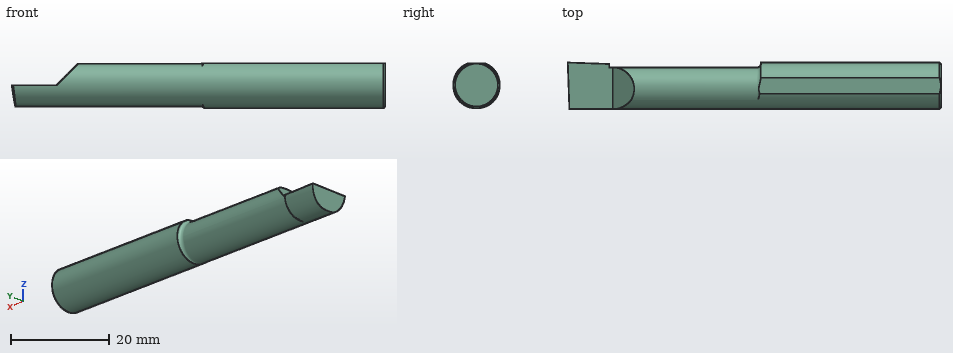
import cadquery as cq
import math

total_length = 76.2
shank_diameter = 9.525
shank_radius = shank_diameter / 2
shank_flat_height = 4.48
shank_end_chamfer = 0.4

neck_radius = 4.40
neck_back_reach = 3.76
neck_offset = neck_radius - neck_back_reach
neck_end = 39.4
neck_fillet = 0.76

head_length = 8.5
head_side_relief = 2.0
head_end_relief = 2.0
head_front_clearance = 8.0

rake_length = 9.17
ramp_angle = 45.0

overcut = 10.0
relief_block_size = 4 * overcut


def make_shank():
    bar = (
        cq.Workplane("YZ")
        .circle(shank_radius)
        .extrude(total_length)
        .faces(">X")
        .chamfer(shank_end_chamfer)
    )
    above_flat = cq.Workplane("XY").box(
        total_length, shank_diameter, shank_diameter, centered=(False, True, False)
    )
    return bar.cut(above_flat.translate((0, 0, shank_flat_height)))


def make_neck_envelope():
    """Eccentric solid that bounds the neck, flaring into the shank through a round."""
    flare_radius = neck_radius + neck_fillet
    flare_start = neck_end - neck_fillet
    half_arc_rise = neck_fillet * (1 - math.cos(math.radians(45)))
    outer_radius = shank_diameter
    profile = (
        cq.Workplane("XY")
        .moveTo(head_length, 0)
        .lineTo(head_length, neck_radius)
        .lineTo(flare_start, neck_radius)
        .threePointArc(
            (neck_end - half_arc_rise, neck_radius + half_arc_rise),
            (neck_end, flare_radius),
        )
        .lineTo(neck_end, outer_radius)
        .lineTo(total_length, outer_radius)
        .lineTo(total_length, 0)
        .close()
    )
    return profile.revolve(360, (0, 0, 0), (1, 0, 0)).translate((0, -neck_offset, 0))


def head_section(start_x, reach):
    """Neck circle stretched sideways until its +Y side lies at the given reach."""
    neck_far_side = -neck_offset - neck_radius
    width = reach - neck_far_side
    return (
        cq.Workplane("YZ", origin=(start_x, (reach + neck_far_side) / 2, 0))
        .slot2D(width, 2 * neck_radius)
        .wires()
        .val()
    )


def make_head_envelope():
    """Solid that bounds the head, its +Y side drawing in from the tip towards the neck."""
    rear_reach = shank_radius - head_length * math.tan(math.radians(head_side_relief))
    sections = [head_section(0, shank_radius), head_section(head_length, rear_reach)]
    return cq.Workplane(cq.Solid.makeLoft(sections, True))


def make_chip_space():
    """Everything above the rake face and in front of the ramp."""
    ramp_run = overcut / math.tan(math.radians(ramp_angle))
    return (
        cq.Workplane("XZ")
        .polyline([
            (-overcut, 0),
            (rake_length, 0),
            (rake_length + ramp_run, overcut),
            (-overcut, overcut),
        ])
        .close()
        .extrude(overcut, both=True)
    )


def make_end_relief():
    """Block in front of the tip whose rear face leans back in both directions."""
    block = cq.Workplane("XY").box(
        overcut, relief_block_size, relief_block_size, centered=(False, True, True)
    ).translate((-overcut, 0, 0))
    return (
        block
        .rotate((0, 0, 0), (0, 1, 0), -head_front_clearance)
        .rotate((0, 0, 0), (0, 0, 1), head_end_relief)
        .translate((0, shank_radius, 0))
    )


envelope = make_neck_envelope().union(make_head_envelope())
result = make_shank().intersect(envelope).cut(make_chip_space()).cut(make_end_relief())